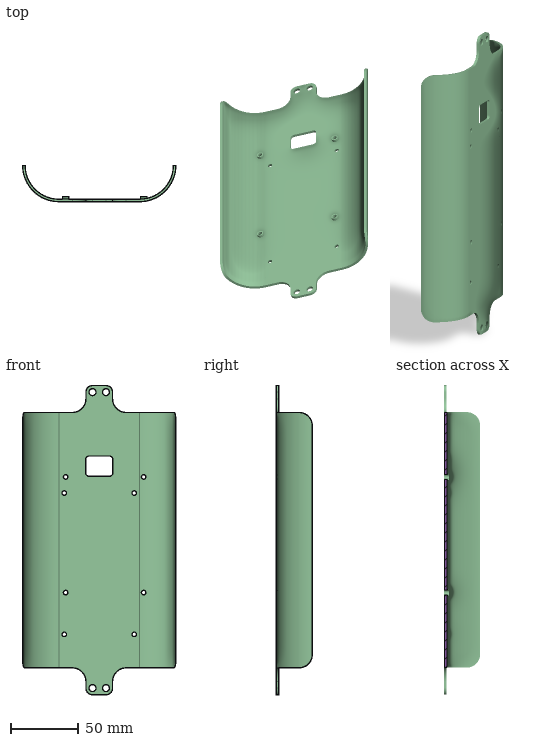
import cadquery as cq

sheet_thickness = 2.0
flat_width = 60.0
wing_outer_radius = 27.0
wing_inner_radius = wing_outer_radius - sheet_thickness
body_height = 190.0
wing_corner_radius = 10.0

total_height = 230.0
tab_width = 20.0
tab_length = (total_height - body_height) / 2
tab_corner_radius = 5.0
tab_root_radius = 10.0
tab_hole_diameter = 5.0
tab_hole_spacing = 10.0
tab_hole_edge_distance = 5.0

window_width = 20.0
window_height = 15.0
window_center_z = 55.0
window_corner_radius = 2.5

screw_hole_diameter = 3.2
plain_pattern_size = (52.0, 105.0)
plain_pattern_center = (0.0, -17.5)
boss_pattern_size = (58.0, 86.0)
boss_pattern_center = (4.0, 4.0)
boss_diameter = 5.0
boss_height = 2.0

half_flat = flat_width / 2
half_width = half_flat + wing_outer_radius
half_body = body_height / 2


def back_plane(y):
    """Plane at the given Y whose local axes are +X and -Z and whose normal is +Y."""
    return cq.Workplane(cq.Plane(origin=(0, y, 0), xDir=(1, 0, 0), normal=(0, 1, 0)))


def points_on_plane(points):
    """Turn (x, z) positions into local coordinates, where the second axis is -Z."""
    return [(x, -z) for x, z in points]


def rectangle_corners(size, center):
    """The four (x, z) corners of a hole pattern."""
    return [
        (center[0] + side * size[0] / 2, center[1] + end * size[1] / 2)
        for side in (-1, 1)
        for end in (-1, 1)
    ]


def cylinders(points, diameter, start_y, length):
    """Cylinders along +Y at the given (x, z) positions."""
    return back_plane(start_y).pushPoints(points_on_plane(points)).circle(diameter / 2).extrude(length)


def trough(radius, base_y):
    """Solid with the flat back at base_y and quarter rounds of the given radius."""
    half = half_flat + radius
    return (
        cq.Workplane("XY", origin=(0, 0, -half_body))
        .moveTo(-half, wing_outer_radius)
        .radiusArc((-half_flat, base_y), -radius)
        .lineTo(half_flat, base_y)
        .radiusArc((half, wing_outer_radius), -radius)
        .close()
        .extrude(body_height)
    )


def make_body():
    """Curved sheet with the free corners of both wings rounded."""
    side_outline = (
        cq.Workplane("XY")
        .box(2 * half_width, wing_outer_radius, body_height, centered=(True, False, True))
        .edges("|X and >Y")
        .fillet(wing_corner_radius)
    )
    sheet = trough(wing_outer_radius, 0).cut(trough(wing_inner_radius, sheet_thickness))
    return sheet.intersect(side_outline)


def make_tab():
    """Upper tab with rounded outer corners and concave root fillets."""
    half_tab = tab_width / 2
    half_root = half_tab + tab_root_radius
    tab_end = half_body + tab_length
    shoulder = tab_end - tab_corner_radius
    half_end = half_tab - tab_corner_radius
    root_top = half_body + tab_root_radius
    root_base = half_body - sheet_thickness
    return (
        cq.Workplane("XZ")
        .moveTo(-half_root, root_base)
        .lineTo(-half_root, half_body)
        .radiusArc((-half_tab, root_top), -tab_root_radius)
        .lineTo(-half_tab, shoulder)
        .radiusArc((-half_end, tab_end), tab_corner_radius)
        .lineTo(half_end, tab_end)
        .radiusArc((half_tab, shoulder), tab_corner_radius)
        .lineTo(half_tab, root_top)
        .radiusArc((half_root, half_body), -tab_root_radius)
        .lineTo(half_root, root_base)
        .close()
        .extrude(-sheet_thickness)
    )


def make_window():
    """Cutter for the rounded rectangular window."""
    return (
        cq.Workplane("XY", origin=(0, 0, window_center_z))
        .box(window_width, 2 * sheet_thickness, window_height)
        .translate((0, sheet_thickness / 2, 0))
        .edges("|Y")
        .fillet(window_corner_radius)
    )


boss_points = rectangle_corners(boss_pattern_size, boss_pattern_center)
plain_points = rectangle_corners(plain_pattern_size, plain_pattern_center)
tab_hole_row_spacing = total_height - 2 * tab_hole_edge_distance
tab_hole_points = rectangle_corners((tab_hole_spacing, tab_hole_row_spacing), (0, 0))

boss_start = sheet_thickness / 2
boss_top = sheet_thickness + boss_height
drill_start = -sheet_thickness
drill_length = boss_top - 2 * drill_start

upper_tab = make_tab()
result = make_body().union(upper_tab).union(upper_tab.mirror("XY"))
result = result.union(cylinders(boss_points, boss_diameter, boss_start, boss_top - boss_start))
result = result.cut(cylinders(boss_points + plain_points, screw_hole_diameter, drill_start, drill_length))
result = result.cut(cylinders(tab_hole_points, tab_hole_diameter, drill_start, drill_length))
result = result.cut(make_window())